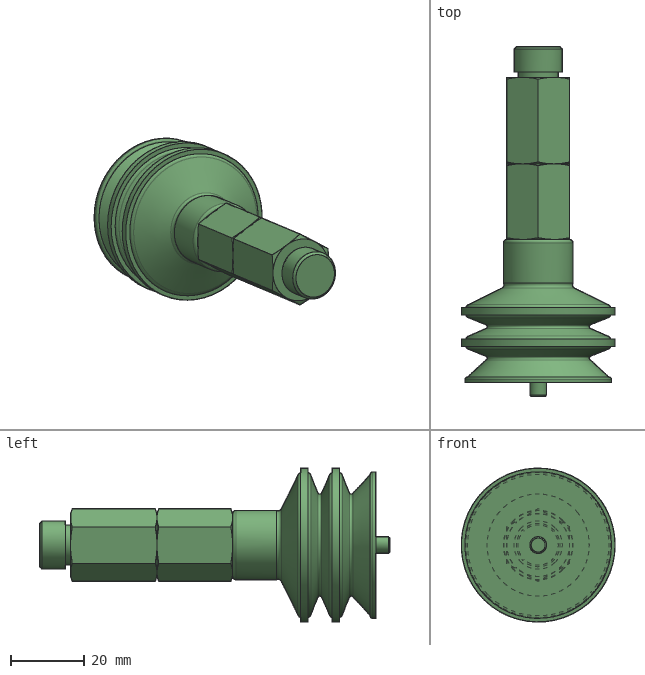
import cadquery as cq
import math

total_length = 95.6

pin_radius = 4.6 / 2
pin_tip_chamfer = 0.4

face_station = 3.8
lip_radius = 40.0 / 2
lip_edge_end = 4.7
lip_back_station = 5.35
lip_back_radius = 19.3

ring_radius = 42.0 / 2
ring_width = 2.1
ring_pitch = 8.6
lower_ring_station = 13.7
shoulder_root_radius = 19.8
shoulder_tip_radius = 19.0
shoulder_length = 0.8
shoulder_bulge = 0.1
neck_radius = 13.95
neck_edge_radius = 14.2
neck_width = 1.0
lower_neck_station = 10.0

sleeve_radius = 19.0 / 2
sleeve_top = 42.9
sleeve_top_fillet = 1.0
cone_top_station = 29.6
cone_top_radius = 9.9
sleeve_start = 31.0

hex_flats = 17.2
hex_joint = 63.5
hex_top = 87.15
hex_end_chamfer_angle = 20.0

groove_radius = 11.0 / 2
head_radius = 13.2 / 2
head_start = 88.6
head_chamfer = 0.7


def turned(points):
    """Revolve a closed (radius, station) outline about the Y axis."""
    return cq.Workplane("XY").polyline(points).close().revolve(360, (0, 0), (0, 1))


def cylinder(radius, start, end):
    return turned([(0, start), (radius, start), (radius, end), (0, end)])


def add_neck(outline, start):
    """Continue the outline with the hollow neck in front of a ring."""
    return outline.lineTo(neck_edge_radius, start).threePointArc(
        (neck_radius, start + neck_width / 2), (neck_edge_radius, start + neck_width)
    )


def add_ring(outline, start):
    """Continue the outline with one ring between its two rounded shoulders."""
    end = start + ring_width
    middle_radius = (shoulder_root_radius + shoulder_tip_radius) / 2 + shoulder_bulge
    middle_offset = shoulder_length / 2 + shoulder_bulge
    return (
        outline.lineTo(shoulder_tip_radius, start - shoulder_length)
        .threePointArc((middle_radius, start - middle_offset), (shoulder_root_radius, start))
        .lineTo(ring_radius, start)
        .lineTo(ring_radius, end)
        .lineTo(shoulder_root_radius, end)
        .threePointArc((middle_radius, end + middle_offset), (shoulder_tip_radius, end + shoulder_length))
    )


def make_cup():
    outline = (
        cq.Workplane("XY")
        .moveTo(0, face_station)
        .lineTo(lip_radius, face_station)
        .lineTo(lip_radius, lip_edge_end)
        .tangentArcPoint((lip_back_radius, lip_back_station), relative=False)
    )
    for offset in (0, ring_pitch):
        outline = add_neck(outline, lower_neck_station + offset)
        outline = add_ring(outline, lower_ring_station + offset)
    return (
        outline.lineTo(cone_top_radius, cone_top_station)
        .tangentArcPoint((sleeve_radius, sleeve_start), relative=False)
        .lineTo(sleeve_radius, sleeve_top - sleeve_top_fillet)
        .tangentArcPoint((sleeve_radius - sleeve_top_fillet, sleeve_top), relative=False)
        .lineTo(0, sleeve_top)
        .close()
        .revolve(360, (0, 0), (0, 1))
    )


def make_hex(start, end):
    """Hexagonal length with flats facing +X and -X and turned-off end corners."""
    inner_radius = hex_flats / 2
    corner_radius = inner_radius / math.cos(math.pi / 6)
    chamfer_length = (corner_radius - inner_radius) * math.tan(math.radians(hex_end_chamfer_angle))
    prism = (
        cq.Workplane("XZ", origin=(0, start, 0))
        .polygon(6, 2 * corner_radius)
        .extrude(start - end)
        .rotate((0, 0, 0), (0, 1, 0), 30)
    )
    envelope = turned([
        (0, start),
        (inner_radius, start),
        (corner_radius, start + chamfer_length),
        (corner_radius, end - chamfer_length),
        (inner_radius, end),
        (0, end),
    ])
    return prism.intersect(envelope)


pin = cylinder(pin_radius, 0, face_station).faces("<Y").chamfer(pin_tip_chamfer)
groove = cylinder(groove_radius, hex_top, head_start)
head = cylinder(head_radius, head_start, total_length).faces(">Y").chamfer(head_chamfer)

part = make_cup()
for piece in (pin, make_hex(sleeve_top, hex_joint), make_hex(hex_joint, hex_top), groove, head):
    part = part.union(piece)

result = part.translate((0, -total_length / 2, 0))